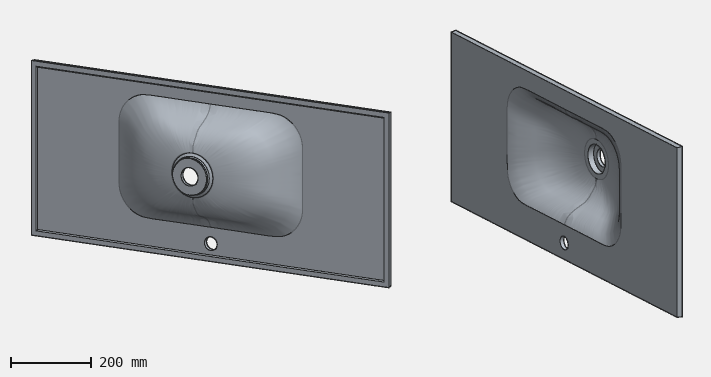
import cadquery as cq
import math


PLATE_WIDTH = 1000.0
PLATE_HEIGHT = 450.0
PLATE_DEPTH = 15.0
PLATE_DRAFT = 1.5
SLAB_THICKNESS = 11.5
RIM_WIDTH = 13.0
RECESS_DRAFT = 3.0

OVERALL_DEPTH = 124.0
BOWL_CENTER_Z = 21.0
CORNER_STEPS = 6
STRAIGHT_STEPS = 4
BOWL_INSET = 6.0
BOWL_SECTIONS = [
    (SLAB_THICKNESS, 257.0, 158.6, 81.0),
    (18.0, 240.5, 147.5, 82.0),
    (25.0, 230.0, 138.5, 83.0),
    (36.0, 217.0, 130.5, 86.0),
    (54.0, 197.5, 121.5, 88.0),
    (74.0, 174.0, 112.5, 90.0),
    (90.0, 144.0, 97.0, 88.0),
    (102.0, 106.0, 80.0, 76.0),
    (106.0, 82.0, 70.0, 67.0),
    (108.5, 58.5, 57.5, 56.5),
]

NECK_START_RADIUS = 57.0
NECK_END_RADIUS = 49.5
NECK_END_DEPTH = 113.0
DRAIN_RADIUS = 47.5
DRAIN_RIM_DEPTH = 118.0
DRAIN_HOLE_RADIUS = 23.5
DRAIN_SEAT_RADIUS = 38.0
DRAIN_FLOOR_THICKNESS = 10.0

TAP_HOLE_DIAMETER = 35.0
TAP_HOLE_Z = -180.0


def plane_at(depth, center_z=0.0):
    """Workplane facing -Y at the given depth, centred on X = 0."""
    return cq.Workplane("XZ", origin=(0, -depth, center_z))


def tapered_block(near, far):
    """Loft between two rectangles given as (depth, width, height)."""
    wires = [plane_at(depth).rect(width, height).wires().val() for depth, width, height in (near, far)]
    return cq.Workplane(cq.Solid.makeLoft(wires, True))


def cylinder(radius, start_depth, end_depth, center_z):
    return plane_at(start_depth, center_z).circle(radius).extrude(end_depth - start_depth)


def counter_plate():
    outer = tapered_block(
        (0.0, PLATE_WIDTH - 2 * PLATE_DRAFT, PLATE_HEIGHT - 2 * PLATE_DRAFT),
        (PLATE_DEPTH, PLATE_WIDTH, PLATE_HEIGHT),
    )
    recess_width = PLATE_WIDTH - 2 * RIM_WIDTH
    recess_height = PLATE_HEIGHT - 2 * RIM_WIDTH
    recess = tapered_block(
        (SLAB_THICKNESS, recess_width - 2 * RECESS_DRAFT, recess_height - 2 * RECESS_DRAFT),
        (PLATE_DEPTH, recess_width, recess_height),
    )
    return outer.cut(recess)


def half_section(half_width, half_height, corner, side):
    """Smooth half of a rounded rectangle, from the top centre to the bottom centre; side is 1 or -1."""
    straight_x = half_width - corner
    straight_z = half_height - corner
    upper = [(straight_x * step / STRAIGHT_STEPS, half_height) for step in range(STRAIGHT_STEPS)]
    for step in range(CORNER_STEPS + 1):
        angle = math.pi / 2 * (1 - step / CORNER_STEPS)
        upper.append((straight_x + corner * math.cos(angle), straight_z + corner * math.sin(angle)))
    upper += [(half_width, straight_z * (1 - step / STRAIGHT_STEPS)) for step in range(1, STRAIGHT_STEPS)]
    lower = [(x, -z) for x, z in reversed(upper)]
    points = upper + [(half_width, 0.0)] + lower
    return [(side * x, z) for x, z in points]


def bowl_half(inset, rise, side):
    """Half of the bowl as a loft through its sections, drawn in by inset and raised by rise."""
    wires = []
    for depth, half_width, half_height, corner in BOWL_SECTIONS:
        points = half_section(half_width - inset, half_height - inset, corner - inset, side)
        section = plane_at(depth - rise, BOWL_CENTER_Z).spline(points, tangents=[(side, 0), (-side, 0)])
        wires.append(section.close().wires().val())
    return cq.Workplane(cq.Solid.makeLoft(wires, False))


def bowl_solid(inset, rise):
    return bowl_half(inset, rise, 1).union(bowl_half(inset, rise, -1))


def drain_collar():
    """Turned collar that narrows below the bowl and ends in a short cylinder."""
    start_depth = BOWL_SECTIONS[-1][0]
    return (
        cq.Workplane("XY", origin=(0, 0, BOWL_CENTER_Z))
        .moveTo(0, -start_depth)
        .lineTo(NECK_START_RADIUS, -start_depth)
        .lineTo(NECK_END_RADIUS, -NECK_END_DEPTH)
        .lineTo(DRAIN_RADIUS, -DRAIN_RIM_DEPTH)
        .lineTo(DRAIN_RADIUS, -OVERALL_DEPTH)
        .lineTo(0, -OVERALL_DEPTH)
        .close()
        .revolve(360, (0, 0, 0), (0, 1, 0))
    )


def drain_bore():
    """Seat opening into the bowl, with the waste hole through its floor."""
    floor_depth = OVERALL_DEPTH - DRAIN_FLOOR_THICKNESS
    seat_start = BOWL_SECTIONS[-2][0] - SLAB_THICKNESS
    seat = cylinder(DRAIN_SEAT_RADIUS, seat_start, floor_depth, BOWL_CENTER_Z)
    return seat.union(cylinder(DRAIN_HOLE_RADIUS, floor_depth, OVERALL_DEPTH, BOWL_CENTER_Z))


def tap_hole():
    return cylinder(TAP_HOLE_DIAMETER / 2, 0, PLATE_DEPTH, TAP_HOLE_Z)


outer_body = counter_plate().union(bowl_solid(0, 0)).union(drain_collar())
hollow_body = outer_body.cut(bowl_solid(BOWL_INSET, SLAB_THICKNESS))
result = hollow_body.cut(drain_bore()).cut(tap_hole())